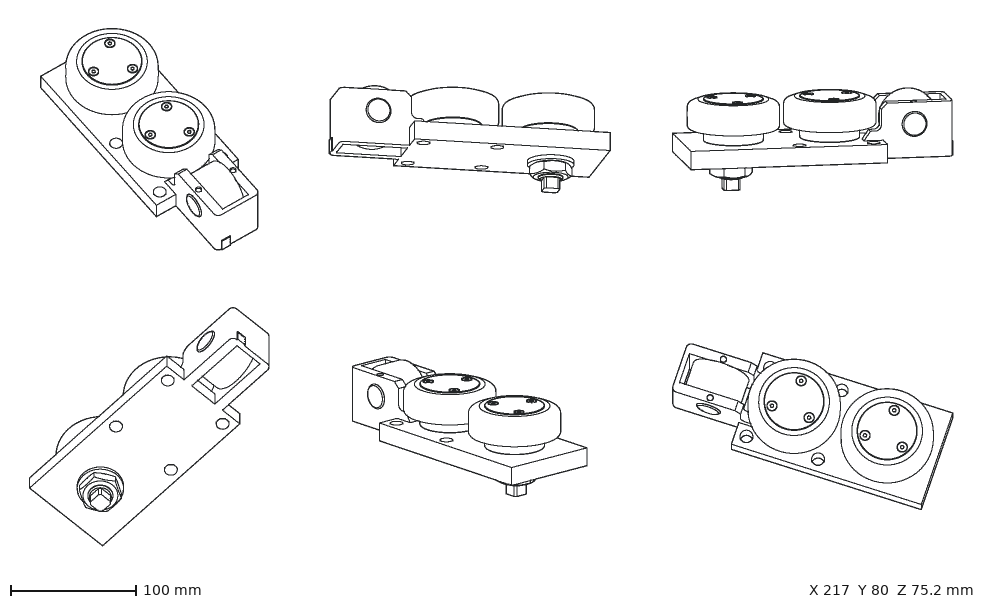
import cadquery as cq
import math


HEX_CORNER_RATIO = 1 / math.cos(math.pi / 6)
QUARTER_ARC_SETBACK = 1 - math.sqrt(0.5)

PLATE_LENGTH = 159.5
PLATE_WIDTH = 80.0
PLATE_THICKNESS = 15.0
MOUNT_HOLE_DIAMETER = 10.2
MOUNT_HOLE_PITCH = 60.1

ROLLER_1_X = 41.9
ROLLER_PITCH = 78.1
ROLLER_2_X = ROLLER_1_X + ROLLER_PITCH
ROLLER_RADIUS = 36.9
ROLLER_CROWN = 0.1
ROLLER_BOTTOM_Z = 25.2
ROLLER_LOWER_EDGE = 2.2
ROLLER_UPPER_EDGE_Z = 42.3
ROLLER_SHOULDER_RADIUS = 34.0
ROLLER_SHOULDER_Z = 46.2
ROLLER_TOP_RADIUS = 28.2
ROLLER_TOP_Z = 48.4
HUB_DIAMETER = 48.0
HUB_EDGE_CHAMFER = 0.5
NECK_DIAMETER = 45.5
NECK_HEIGHT = 0.7
CAP_TOP_Z = 49.0

SCREW_COUNT = 3
FIRST_SCREW_ANGLE = 30
SCREW_CIRCLE_RADIUS = 18.0
SCREW_HEAD_DIAMETER = 7.8
SCREW_SEAT_DIAMETER = 8.2
SCREW_SEAT_DEPTH = 0.7
SCREW_SOCKET_FLATS = 2.5
ROLLER_1_SOCKET_ANGLE = 30
ROLLER_2_SOCKET_ANGLE = 0

ECCENTRICITY = 2.0
BOLT_X = ROLLER_1_X - ECCENTRICITY
WASHER_DIAMETER = 37.0
WASHER_THICKNESS = 3.3
NUT_FLATS = 30.0
NUT_HEIGHT = 10.0
NUT_CHAMFER_DEPTH = 2.0
NUT_FACE_DIAMETER = 27.8
STUD_DIAMETER = 20.0
STUD_PROTRUSION = 2.0
STUD_CHAMFER = 1.3
SQUARE_FLATS = 13.0
SQUARE_CORNER_DIAMETER = 16.0
SQUARE_LENGTH = 9.1

FORK_END_X = 216.1
FORK_WIDTH = 42.0
FORK_HEIGHT = 45.0
FORK_CORNER_RADIUS = 4.3
SLOT_WIDTH = 25.2
SLOT_END_X = 212.0
FORK_FACE_X = 158.0
FORK_TOP_CHAMFER = 4.8
FORK_FOOT_Z = 22.5
FORK_FOOT_FILLET = 5.0
FORK_FOOT_X = 149.0
FORK_TOE_X = 143.9
GRUB_HOLE_DIAMETER = 5.0
GRUB_HOLE_DEPTH = 1.7
DRILL_POINT_ANGLE = 118
PAD_Y = -12.4
PAD_LENGTH = 8.2
PAD_HEIGHT = 11.3
PAD_END_X = 217

GUIDE_X = 184.9
GUIDE_Z = 27.3
GUIDE_RADIUS = 23.5
GUIDE_CROWN = 0.1
GUIDE_WIDTH = 24.3
GUIDE_EDGE_RADIUS = 1.3
PIN_DIAMETER = 20.2
PIN_LENGTH = 44.7
PIN_CHAMFER = 1.0


def disc(x, diameter, bottom_z, height):
    """Upright cylinder on the plate's centre line."""
    return cq.Workplane("XY", origin=(x, 0, bottom_z)).circle(diameter / 2).extrude(height)


def base_plate():
    """Rectangular plate with four mounting holes in a square round load roller 2."""
    plate = cq.Workplane("XY").box(
        PLATE_LENGTH, PLATE_WIDTH, PLATE_THICKNESS, centered=(False, True, False)
    )
    holes = (
        cq.Workplane("XY", origin=(ROLLER_2_X, 0, 0))
        .rect(MOUNT_HOLE_PITCH, MOUNT_HOLE_PITCH, forConstruction=True)
        .vertices()
        .circle(MOUNT_HOLE_DIAMETER / 2)
        .extrude(PLATE_THICKNESS)
    )
    return plate.cut(holes)


def roller_tyre():
    """Disc with a slightly crowned running face and rounded shoulders, centred on the Z axis."""
    lower_edge_z = ROLLER_BOTTOM_Z + ROLLER_LOWER_EDGE
    crown_z = (lower_edge_z + ROLLER_UPPER_EDGE_Z) / 2
    corner_z = ROLLER_BOTTOM_Z + ROLLER_LOWER_EDGE * QUARTER_ARC_SETBACK
    corner_radius = ROLLER_RADIUS - ROLLER_LOWER_EDGE * QUARTER_ARC_SETBACK
    profile = (
        cq.Workplane("XZ")
        .moveTo(0, ROLLER_BOTTOM_Z)
        .lineTo(ROLLER_RADIUS - ROLLER_LOWER_EDGE, ROLLER_BOTTOM_Z)
        .threePointArc((corner_radius, corner_z), (ROLLER_RADIUS, lower_edge_z))
        .threePointArc((ROLLER_RADIUS + ROLLER_CROWN, crown_z), (ROLLER_RADIUS, ROLLER_UPPER_EDGE_Z))
        .tangentArcPoint((ROLLER_SHOULDER_RADIUS, ROLLER_SHOULDER_Z), relative=False)
        .lineTo(ROLLER_TOP_RADIUS, ROLLER_TOP_Z)
        .lineTo(0, ROLLER_TOP_Z)
        .close()
    )
    return profile.revolve(360, (0, 0, 0), (0, 1, 0))


def cap_screw_cuts(socket_angle):
    """Clearance ring round each screw head and the hexagon socket in it."""
    cuts = cq.Workplane("XY")
    for index in range(SCREW_COUNT):
        angle = math.radians(FIRST_SCREW_ANGLE + index * 360 / SCREW_COUNT)
        centre = (SCREW_CIRCLE_RADIUS * math.cos(angle), SCREW_CIRCLE_RADIUS * math.sin(angle), CAP_TOP_Z)
        top = cq.Workplane("XY", origin=centre)
        ring = top.circle(SCREW_SEAT_DIAMETER / 2).circle(SCREW_HEAD_DIAMETER / 2).extrude(-SCREW_SEAT_DEPTH)
        socket = (
            top.transformed(rotate=(0, 0, socket_angle))
            .polygon(6, SCREW_SOCKET_FLATS * HEX_CORNER_RATIO)
            .extrude(-SCREW_SEAT_DEPTH)
        )
        cuts = cuts.add(ring).add(socket)
    return cuts.combine()


def load_roller(x, socket_angle):
    """Tyre on a hub flange that leaves a narrow gap below it, with a screwed cap on top."""
    flange_height = ROLLER_BOTTOM_Z - NECK_HEIGHT - PLATE_THICKNESS
    flange = disc(0, HUB_DIAMETER, PLATE_THICKNESS, flange_height)
    flange = flange.faces("<Z or >Z").chamfer(HUB_EDGE_CHAMFER)
    neck = disc(0, NECK_DIAMETER, PLATE_THICKNESS, ROLLER_TOP_Z - PLATE_THICKNESS)
    cap = disc(0, HUB_DIAMETER, ROLLER_BOTTOM_Z, CAP_TOP_Z - ROLLER_BOTTOM_Z)
    cap = cap.faces(">Z").chamfer(HUB_EDGE_CHAMFER)
    roller = flange.union(neck).union(roller_tyre()).union(cap)
    roller = roller.cut(cap_screw_cuts(socket_angle))
    return roller.translate((x, 0, 0))


def nut(top_z):
    """Hexagon nut with its corners turned down to a cone at both ends."""
    corner_radius = NUT_FLATS / 2 * HEX_CORNER_RATIO
    face_radius = NUT_FACE_DIAMETER / 2
    hexagon = cq.Workplane("XY").polygon(6, 2 * corner_radius).extrude(-NUT_HEIGHT)
    turned = (
        cq.Workplane("XZ")
        .moveTo(0, 0)
        .lineTo(face_radius, 0)
        .lineTo(corner_radius, -NUT_CHAMFER_DEPTH)
        .lineTo(corner_radius, NUT_CHAMFER_DEPTH - NUT_HEIGHT)
        .lineTo(face_radius, -NUT_HEIGHT)
        .lineTo(0, -NUT_HEIGHT)
        .close()
        .revolve(360, (0, 0, 0), (0, 1, 0))
    )
    return hexagon.intersect(turned).translate((BOLT_X, 0, top_z))


def eccentric_bolt():
    """Washer, nut, stud end and adjusting square below the plate."""
    nut_top_z = -WASHER_THICKNESS
    nut_bottom_z = nut_top_z - NUT_HEIGHT
    stud_end_z = nut_bottom_z - STUD_PROTRUSION
    washer = disc(BOLT_X, WASHER_DIAMETER, nut_top_z, WASHER_THICKNESS)
    stud = disc(BOLT_X, STUD_DIAMETER, stud_end_z, -stud_end_z).faces("<Z").chamfer(STUD_CHAMFER)
    square = (
        cq.Workplane("XY", origin=(BOLT_X, 0, stud_end_z))
        .rect(SQUARE_FLATS, SQUARE_FLATS)
        .extrude(-SQUARE_LENGTH)
        .intersect(disc(BOLT_X, SQUARE_CORNER_DIAMETER, stud_end_z - SQUARE_LENGTH, SQUARE_LENGTH))
    )
    return washer.union(nut(nut_top_z)).union(stud).union(square)


def pin_along_y(diameter, length):
    """Cylinder on the guide roller's axis, centred across the fork."""
    return (
        cq.Workplane("XZ", origin=(GUIDE_X, 0, GUIDE_Z)).circle(diameter / 2).extrude(length / 2, both=True)
    )


def grub_screw_hole(y):
    """Blind hole with a drill point in the top of one fork arm."""
    radius = GRUB_HOLE_DIAMETER / 2
    point_depth = radius / math.tan(math.radians(DRILL_POINT_ANGLE / 2))
    return (
        cq.Workplane("XZ")
        .lineTo(radius, 0)
        .lineTo(radius, -GRUB_HOLE_DEPTH)
        .lineTo(0, -GRUB_HOLE_DEPTH - point_depth)
        .close()
        .revolve(360, (0, 0, 0), (0, 1, 0))
        .translate((GUIDE_X, y, FORK_HEIGHT))
    )


def fork():
    """U-shaped fork standing on the plate's end and reaching down past it, with a pad on its far end."""
    fillet_mid = FORK_FOOT_FILLET * QUARTER_ARC_SETBACK
    side = (
        cq.Workplane("XZ")
        .moveTo(FORK_END_X, 0)
        .lineTo(FORK_END_X, FORK_HEIGHT)
        .lineTo(FORK_FACE_X + FORK_TOP_CHAMFER, FORK_HEIGHT)
        .lineTo(FORK_FACE_X, FORK_HEIGHT - FORK_TOP_CHAMFER)
        .lineTo(FORK_FACE_X, FORK_FOOT_Z + FORK_FOOT_FILLET)
        .threePointArc(
            (FORK_FACE_X - fillet_mid, FORK_FOOT_Z + fillet_mid),
            (FORK_FACE_X - FORK_FOOT_FILLET, FORK_FOOT_Z),
        )
        .lineTo(FORK_FOOT_X, FORK_FOOT_Z)
        .lineTo(FORK_TOE_X, PLATE_THICKNESS)
        .lineTo(PLATE_LENGTH, PLATE_THICKNESS)
        .lineTo(PLATE_LENGTH, 0)
        .close()
    )
    block = side.extrude(FORK_WIDTH / 2, both=True)
    block = block.edges("|Z and >X").fillet(FORK_CORNER_RADIUS)
    slot_length = SLOT_END_X - FORK_TOE_X
    slot = cq.Workplane("XY", origin=(FORK_TOE_X, 0, 0)).box(
        slot_length, SLOT_WIDTH, FORK_HEIGHT, centered=(False, True, False)
    )
    block = block.cut(slot).cut(pin_along_y(PIN_DIAMETER, FORK_WIDTH))
    arm_y = (FORK_WIDTH + SLOT_WIDTH) / 4
    for y in (-arm_y, arm_y):
        block = block.cut(grub_screw_hole(y))
    pad = cq.Workplane("XY", origin=(SLOT_END_X, PAD_Y, 0)).box(
        PAD_END_X - SLOT_END_X, PAD_LENGTH, PAD_HEIGHT, centered=(False, True, False)
    )
    return block.union(pad)


def make_carriage():
    """Plate with its two load rollers, eccentric bolt and fork."""
    return (
        base_plate()
        .union(load_roller(ROLLER_1_X, ROLLER_1_SOCKET_ANGLE))
        .union(load_roller(ROLLER_2_X, ROLLER_2_SOCKET_ANGLE))
        .union(eccentric_bolt())
        .union(fork())
    )


def make_guide_roller():
    """Crowned roller with rounded edges, together with its chamfered pin across the fork."""
    half_width = GUIDE_WIDTH / 2
    edge_y = half_width - GUIDE_EDGE_RADIUS
    edge_radius = GUIDE_RADIUS - GUIDE_CROWN
    profile = (
        cq.Workplane("XY")
        .moveTo(0, -half_width)
        .lineTo(edge_radius - GUIDE_EDGE_RADIUS, -half_width)
        .radiusArc((edge_radius, -edge_y), -GUIDE_EDGE_RADIUS)
        .threePointArc((GUIDE_RADIUS, 0), (edge_radius, edge_y))
        .radiusArc((edge_radius - GUIDE_EDGE_RADIUS, half_width), -GUIDE_EDGE_RADIUS)
        .lineTo(0, half_width)
        .close()
    )
    wheel = profile.revolve(360, (0, 0, 0), (0, 1, 0)).translate((GUIDE_X, 0, GUIDE_Z))
    pin = pin_along_y(PIN_DIAMETER, PIN_LENGTH).faces("<Y or >Y").chamfer(PIN_CHAMFER)
    return wheel.union(pin)


carriage = make_carriage()
guide_roller = make_guide_roller()

result = cq.Compound.makeCompound([carriage.val(), guide_roller.val()])